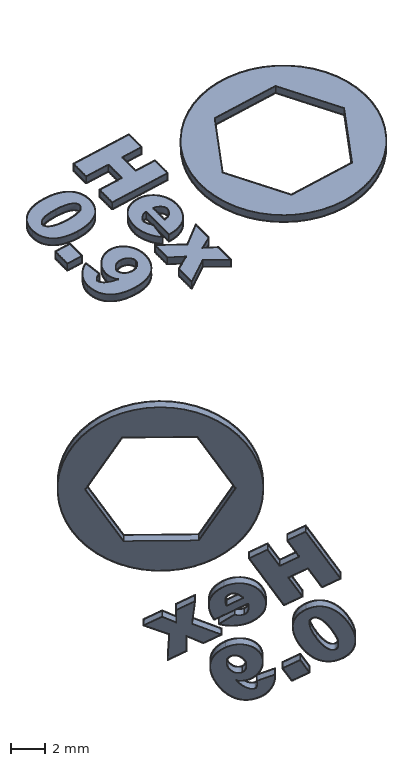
import cadquery as cq
import math


THICKNESS = 0.6
WASHER_DIAMETER = 12.0
HEX_ACROSS_FLATS = 7.58

CAP_HEIGHT = 4.0
X_HEIGHT = 2.9
OVERSHOOT = 0.08
ROW_GAP = 1.0

WASHER_RADIUS = WASHER_DIAMETER / 2
HEX_ACROSS_CORNERS = HEX_ACROSS_FLATS / math.cos(math.pi / 6)
UPPER_BASELINE = -WASHER_RADIUS - ROW_GAP - CAP_HEIGHT
LOWER_BASELINE = UPPER_BASELINE - ROW_GAP - CAP_HEIGHT

H_LEFT = -5.69
E_LEFT = -1.21
X_LEFT = 2.37
ZERO_LEFT = -4.43
DOT_LEFT = -0.63
NINE_LEFT = 1.13

ELLIPTIC = 0.55
FULL = 0.63


def line(end):
    """A straight stretch of an outline."""

    def edge(start):
        return cq.Edge.makeLine(cq.Vector(*start), cq.Vector(*end))

    return edge, end


def curve(corner, end, fullness=ELLIPTIC):
    """A smooth bend whose end tangents meet at the corner."""

    def toward_corner(point):
        return cq.Vector(*(p + fullness * (c - p) for p, c in zip(point, corner)))

    def edge(start):
        return cq.Edge.makeBezier(
            [cq.Vector(*start), toward_corner(start), toward_corner(end), cq.Vector(*end)]
        )

    return edge, end


def outline(start, stretches):
    """Closed wire that runs through the stretches, the last of which ends at the start."""
    edges = []
    point = start
    for make_edge, end in stretches:
        edges.append(make_edge(point))
        point = end
    return cq.Wire.assembleEdges(edges)


def oval(left, right, bottom, top, fullness):
    """Closed wire of four equal bends inside a box."""
    middle_x = (left + right) / 2
    middle_y = (bottom + top) / 2
    return outline(
        (middle_x, top),
        [
            curve((left, top), (left, middle_y), fullness),
            curve((left, bottom), (middle_x, bottom), fullness),
            curve((right, bottom), (right, middle_y), fullness),
            curve((right, top), (middle_x, top), fullness),
        ],
    )


def plate(left, baseline, outer, holes=()):
    """Character plate with its left edge and baseline at the given place."""
    solid = cq.Solid.extrudeLinear(outer, list(holes), cq.Vector(0, 0, THICKNESS))
    return cq.Workplane(solid.translate(cq.Vector(left, baseline, 0)))


def polygon(points):
    """Closed wire of straight stretches."""
    return outline(points[-1], [line(point) for point in points])


def make_washer():
    quarter_turn = 90
    hex_bore = (
        cq.Workplane()
        .transformed(rotate=(0, 0, quarter_turn))
        .polygon(6, HEX_ACROSS_CORNERS).extrude(THICKNESS)
    )
    return cq.Workplane().circle(WASHER_RADIUS).extrude(THICKNESS).cut(hex_bore)


def make_letter_h():
    width = 3.84
    stem = 1.26
    bar_bottom = 1.61
    bar_top = 2.61
    right_stem = width - stem
    outer = polygon([
        (0, 0), (stem, 0), (stem, bar_bottom), (right_stem, bar_bottom), (right_stem, 0), (width, 0),
        (width, CAP_HEIGHT), (right_stem, CAP_HEIGHT), (right_stem, bar_top), (stem, bar_top),
        (stem, CAP_HEIGHT), (0, CAP_HEIGHT),
    ])
    return plate(H_LEFT, UPPER_BASELINE, outer)


def make_letter_e():
    width = 3.39
    bottom = -0.07
    top = X_HEIGHT + 0.06
    middle = 1.67
    left_bulge = 1.43
    bar_bottom = 1.16
    bar_top = 1.67
    bar_left = 1.13
    eye_right = 2.25
    eye_top = 2.3
    mouth_bottom = 0.61
    mouth_lip = (2.17, 0.88)
    tail_tip = (3.33, 0.76)
    tail_corner = 2.73
    lip_corner = 1.98
    side_lean = 0.04

    outer = outline(
        (width, bar_bottom),
        [
            curve((width, top), (middle, top), FULL),
            curve((0, top), (0, left_bulge)),
            curve((0, bottom), (middle, bottom), FULL),
            curve((tail_corner, bottom), tail_tip),
            line(mouth_lip),
            curve((lip_corner, mouth_bottom), (middle, mouth_bottom)),
            curve((bar_left + side_lean, mouth_bottom), (bar_left, bar_bottom)),
            line((width, bar_bottom)),
        ],
    )
    eye = outline(
        (bar_left, bar_top),
        [
            curve((bar_left + side_lean, eye_top), (middle, eye_top)),
            curve((eye_right - side_lean, eye_top), (eye_right, bar_top)),
            line((bar_left, bar_top)),
        ],
    )
    return plate(E_LEFT, UPPER_BASELINE, outer, [eye])


def make_letter_x():
    width = 3.65
    left_foot_inner = 1.23
    right_foot_inner = 2.36
    left_top_inner = 1.38
    right_top_inner = 2.31
    left_waist = 1.07
    right_waist = 2.61
    arm_inset = 0.07
    crotch = 1.82
    upper_notch = 2.11
    lower_notch = 0.94
    waist = 1.56
    outer = polygon([
        (0, 0), (left_foot_inner, 0), (crotch, lower_notch), (right_foot_inner, 0), (width, 0),
        (right_waist, waist), (width - arm_inset, X_HEIGHT), (right_top_inner, X_HEIGHT),
        (crotch, upper_notch), (left_top_inner, X_HEIGHT), (arm_inset, X_HEIGHT), (left_waist, waist),
    ])
    return plate(X_LEFT, UPPER_BASELINE, outer)


def make_zero():
    width = 3.27
    counter_left = 1.1
    counter_right = width - counter_left
    counter_bottom = 0.69
    counter_top = 3.34
    outer = oval(0, width, -OVERSHOOT, CAP_HEIGHT + OVERSHOOT, FULL)
    counter = oval(counter_left, counter_right, counter_bottom, counter_top, FULL)
    return plate(ZERO_LEFT, LOWER_BASELINE, outer, [counter])


def make_dot():
    width = 1.21
    height = 1.07
    outer = polygon([(0, 0), (width, 0), (width, height), (0, height)])
    return plate(DOT_LEFT, LOWER_BASELINE, outer)


def make_nine():
    width = 3.32
    bottom = -OVERSHOOT
    top = CAP_HEIGHT + OVERSHOOT
    middle = 1.54
    right_bulge = 2.05
    bowl_bulge = 2.73
    bowl_bottom = 1.34
    bowl_end = (2.2, 1.68)
    mouth_bottom = 0.62
    mouth_lip = (1.21, 1.04)
    tail_tip = (0.05, 0.9)
    bowl_low_point = 1.44
    bowl_corner = 1.9
    mouth_corner = 2.12
    lip_corner = 1.33
    tail_corner = 0.45
    counter_left = 1.05
    counter_right = 2.14
    counter_bottom = 2.02
    counter_top = 3.36

    outer = outline(
        (middle, top),
        [
            curve((0, top), (0, bowl_bulge)),
            curve((0, bowl_bottom), (bowl_low_point, bowl_bottom)),
            curve((bowl_corner, bowl_bottom), bowl_end),
            curve((mouth_corner, mouth_bottom), (middle, mouth_bottom)),
            curve((lip_corner, mouth_bottom), mouth_lip),
            line(tail_tip),
            curve((tail_corner, bottom), (middle, bottom)),
            curve((width, bottom), (width, right_bulge), FULL),
            curve((width, top), (middle, top), FULL),
        ],
    )
    counter = oval(counter_left, counter_right, counter_bottom, counter_top, ELLIPTIC)
    return plate(NINE_LEFT, LOWER_BASELINE, outer, [counter])


washer = make_washer()
letter_h = make_letter_h()
letter_e = make_letter_e()
letter_x = make_letter_x()
zero = make_zero()
dot = make_dot()
nine = make_nine()

result = cq.Compound.makeCompound([
    washer.val(),
    letter_h.val(),
    letter_e.val(),
    letter_x.val(),
    zero.val(),
    dot.val(),
    nine.val(),
])